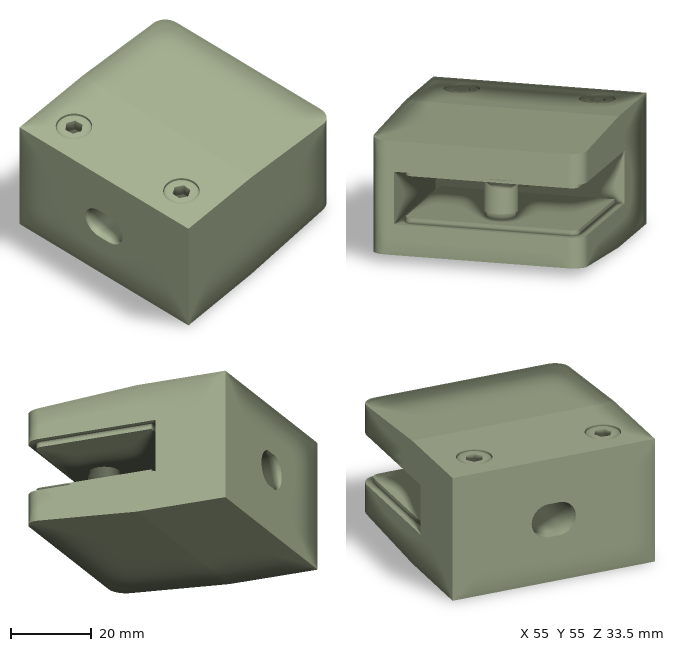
import cadquery as cq
import math

WIDTH = 55.0
DEPTH = 55.0
CORNER_RADIUS = 4.0
JAW_THICKNESS = 10.0
TAPER_START = 24.0
TAPER_ANGLE = 4.0

OPENING_HEIGHT = 13.5
SPINE_DEPTH = 19.0

PAD_MARGIN = 2.0
PAD_THICKNESS = 1.4

PIN_X = -3.15
PIN_FROM_REAR = 11.0
PIN_DIAMETER = 8.45
PIN_NECK_DIAMETER = 7.6
PIN_NECK_LENGTH = 1.4

SLOT_LENGTH = 12.0
SLOT_HEIGHT = 9.0

SCREW_SPACING = 35.0
SCREW_FROM_FRONT = 9.0
HEAD_DIAMETER = 9.0
HEAD_HEIGHT = 5.0
HEAD_FILLET = 0.5
HEAD_RECESS = 0.3
SHANK_DIAMETER = 5.0
SHANK_LENGTH = 15.0
SOCKET_SIDES = 6
SOCKET_FLATS = 4.0
SOCKET_DEPTH = 3.0
SOCKET_TURN = 4.0

FRONT_Y = -DEPTH / 2
REAR_Y = DEPTH / 2
LEFT_X = -WIDTH / 2
HEIGHT = 2 * JAW_THICKNESS + OPENING_HEIGHT
PARTING_Z = JAW_THICKNESS + OPENING_HEIGHT
MID_Z = HEIGHT / 2
TAPER_DROP = (DEPTH - TAPER_START) * math.tan(math.radians(TAPER_ANGLE))
OPENING_FRONT_Y = FRONT_Y + SPINE_DEPTH
OPENING_WIDTH = 2 * (PIN_X - LEFT_X)
HEAD_TOP_Z = HEIGHT - HEAD_RECESS
HEAD_SEAT_Z = HEAD_TOP_Z - HEAD_HEIGHT
SCREW_Y = FRONT_Y + SCREW_FROM_FRONT
SIDES = (-1, 1)
SCREW_POINTS = [(side * SCREW_SPACING / 2, SCREW_Y) for side in SIDES]


def clamp_envelope():
    """Whole outer shape: both jaws tapering toward +Y, with rounded +Y corners."""
    taper_y = FRONT_Y + TAPER_START
    profile = [
        (FRONT_Y, 0),
        (taper_y, 0),
        (REAR_Y, TAPER_DROP),
        (REAR_Y, HEIGHT - TAPER_DROP),
        (taper_y, HEIGHT),
        (FRONT_Y, HEIGHT),
    ]
    block = cq.Workplane("YZ").polyline(profile).close().extrude(WIDTH / 2, both=True)
    return block.edges("|Z and >Y").fillet(CORNER_RADIUS)


def slab(bottom_z, top_z):
    """Full-size plan rectangle between two heights."""
    return cq.Workplane("XY", origin=(0, 0, bottom_z)).rect(WIDTH, DEPTH).extrude(top_z - bottom_z)


def cylinders_at(points, diameter, bottom_z, top_z):
    """Vertical cylinders between two heights, one at each (x, y) point."""
    plane = cq.Workplane("XY", origin=(0, 0, bottom_z))
    return plane.pushPoints(points).circle(diameter / 2).extrude(top_z - bottom_z)


def screw_shanks():
    """Shanks of all screws, used to cut their matching holes."""
    return cylinders_at(SCREW_POINTS, SHANK_DIAMETER, HEAD_SEAT_Z - SHANK_LENGTH, HEAD_SEAT_Z)


def make_base():
    """Lower jaw with the spine and the +X side wall of the opening."""
    base = clamp_envelope().intersect(slab(0, PARTING_Z))
    opening = (
        cq.Workplane("XY", origin=(LEFT_X, OPENING_FRONT_Y, JAW_THICKNESS))
        .rect(OPENING_WIDTH, REAR_Y - OPENING_FRONT_Y, centered=False)
        .extrude(OPENING_HEIGHT)
    )
    slotted_hole = (
        cq.Workplane("XZ", origin=(0, FRONT_Y, MID_Z))
        .slot2D(SLOT_LENGTH, SLOT_HEIGHT)
        .extrude(-SPINE_DEPTH)
    )
    return base.cut(opening).cut(slotted_hole).cut(screw_shanks())


def make_cover():
    """Upper jaw with counterbored screw holes."""
    cover = clamp_envelope().intersect(slab(PARTING_Z, HEIGHT))
    counterbores = cylinders_at(SCREW_POINTS, HEAD_DIAMETER, HEAD_SEAT_Z, HEIGHT)
    return cover.cut(counterbores).cut(screw_shanks())


def make_pad(bottom_z):
    """Thin pad whose +Y corners are concentric with the jaw corners."""
    pad_width = OPENING_WIDTH - 2 * PAD_MARGIN
    pad_depth = REAR_Y - OPENING_FRONT_Y - 2 * PAD_MARGIN
    return (
        cq.Workplane("XY", origin=(LEFT_X + PAD_MARGIN, OPENING_FRONT_Y + PAD_MARGIN, bottom_z))
        .rect(pad_width, pad_depth, centered=False)
        .extrude(PAD_THICKNESS)
        .edges("|Z and >Y")
        .fillet(CORNER_RADIUS - PAD_MARGIN)
    )


def make_pin():
    """Pin with a thinner neck at each end, resting between the two pads."""
    axis = [(PIN_X, REAR_Y - PIN_FROM_REAR)]
    bottom_z = JAW_THICKNESS + PAD_THICKNESS
    top_z = PARTING_Z - PAD_THICKNESS
    core = cylinders_at(axis, PIN_NECK_DIAMETER, bottom_z, top_z)
    barrel = cylinders_at(axis, PIN_DIAMETER, bottom_z + PIN_NECK_LENGTH, top_z - PIN_NECK_LENGTH)
    return core.union(barrel)


def make_screw(x, y, socket_turn):
    """Socket head screw seated on the counterbore floor."""
    head = cylinders_at([(x, y)], HEAD_DIAMETER, HEAD_SEAT_Z, HEAD_TOP_Z)
    head = head.faces(">Z").edges().fillet(HEAD_FILLET)
    shank = cylinders_at([(x, y)], SHANK_DIAMETER, HEAD_SEAT_Z - SHANK_LENGTH, HEAD_SEAT_Z)
    socket = (
        cq.Workplane("XY")
        .polygon(SOCKET_SIDES, SOCKET_FLATS / math.cos(math.pi / SOCKET_SIDES))
        .extrude(-SOCKET_DEPTH)
        .rotate((0, 0, 0), (0, 0, 1), socket_turn)
        .translate((x, y, HEAD_TOP_Z))
    )
    return head.union(shank).cut(socket)


base = make_base()
cover = make_cover()
pads = [make_pad(z) for z in (JAW_THICKNESS, PARTING_Z - PAD_THICKNESS)]
pin = make_pin()
screws = [make_screw(x, y, -side * SOCKET_TURN) for side, (x, y) in zip(SIDES, SCREW_POINTS)]

result = cq.Compound.makeCompound(
    [
        base.val(),
        cover.val(),
        *[pad.val() for pad in pads],
        pin.val(),
        *[screw.val() for screw in screws],
    ]
)